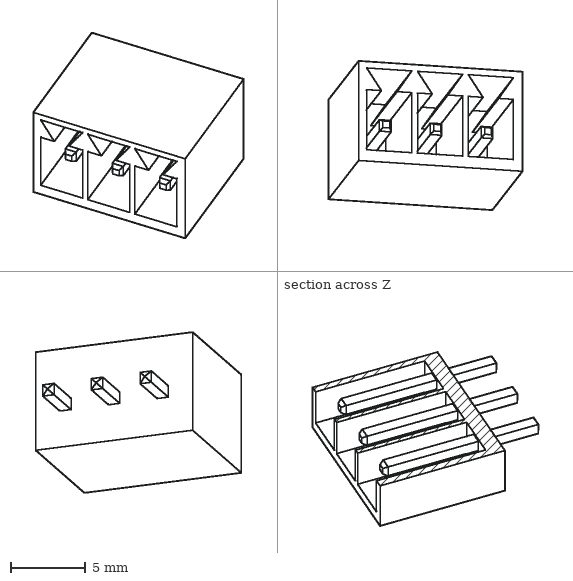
import cadquery as cq

body_width = 11.3
body_depth = 9.2
body_height = 7.0

contact_count = 3
pitch = 3.5

cavity_width = 3.11
cavity_shift = -0.04
cavity_floor_z = 0.8
shoulder_z = 5.01
cavity_top_z = 6.54
key_neck_width = 1.08
back_wall = 1.2

pin_size = 0.81
pin_z = 2.99
pin_front_y = 1.05
front_taper_length = 0.32
front_tip_size = 0.47
total_depth = 12.6
back_point_length = 0.2


def make_cavity(center_x):
    """Rectangular socket with a dovetail keyway above it."""
    half_width = cavity_width / 2
    half_neck = key_neck_width / 2
    right_side = [
        (half_width, cavity_floor_z),
        (half_width, shoulder_z),
        (half_neck, shoulder_z),
        (half_width, cavity_top_z),
    ]
    left_side = [(-x, z) for x, z in reversed(right_side)]
    return (
        cq.Workplane("XZ")
        .polyline(right_side + left_side)
        .close()
        .extrude(-(body_depth - back_wall))
        .translate((center_x, 0, 0))
    )


def make_back_point():
    """Four-sided pyramid, base on Y = 0 and apex towards +Y."""
    half = pin_size / 2
    base = [(-half, 0, -half), (half, 0, -half), (half, 0, half), (-half, 0, half)]
    apex = (0, back_point_length, 0)
    outlines = [base]
    for start, end in zip(base, base[1:] + base[:1]):
        outlines.append([start, end, apex])
    faces = []
    for outline in outlines:
        vectors = [cq.Vector(*point) for point in outline]
        wire = cq.Wire.makePolygon(vectors, close=True)
        faces.append(cq.Face.makeFromWires(wire))
    return cq.Workplane(cq.Solid.makeSolid(cq.Shell.makeShell(faces)))


def make_pin(center_x):
    """Square pin with a blunt tapered front tip and a pointed back end."""
    shank_start = pin_front_y + front_taper_length
    shank_end = total_depth - back_point_length
    shank = (
        cq.Workplane("XZ", origin=(0, shank_start, 0))
        .rect(pin_size, pin_size)
        .extrude(shank_start - shank_end)
    )
    front_tip = (
        cq.Workplane("XZ", origin=(0, shank_start, 0))
        .rect(pin_size, pin_size)
        .workplane(offset=front_taper_length)
        .rect(front_tip_size, front_tip_size)
        .loft(ruled=True)
    )
    back_point = make_back_point().translate((0, shank_end, 0))
    return shank.union(front_tip).union(back_point).translate((center_x, 0, pin_z))


result = cq.Workplane("XY").box(body_width, body_depth, body_height, centered=(True, False, False))

contact_centers = [(i - (contact_count - 1) / 2) * pitch for i in range(contact_count)]
for contact_x in contact_centers:
    result = result.cut(make_cavity(contact_x + cavity_shift))
for contact_x in contact_centers:
    result = result.union(make_pin(contact_x))